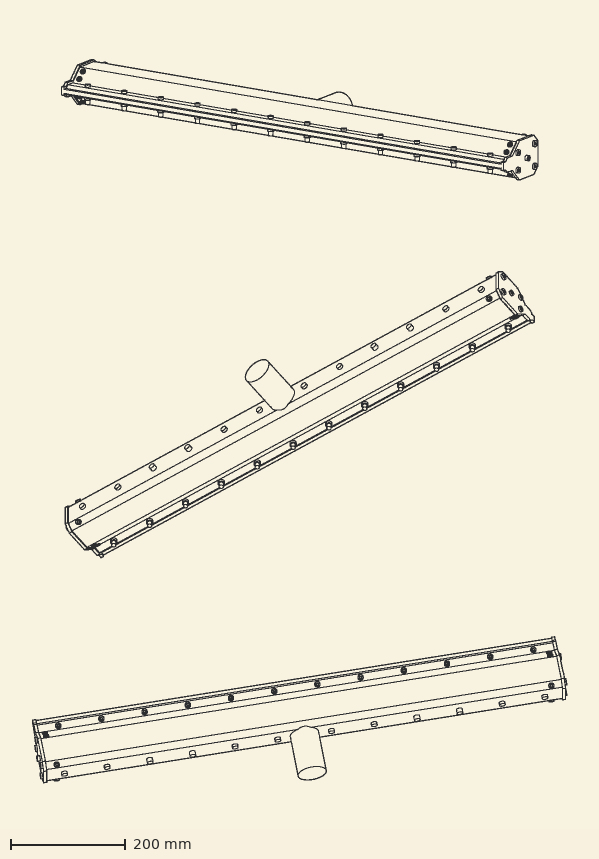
import cadquery as cq

plates_length = 924.0
plate_thickness = 6.0
body_length = plates_length - 2 * plate_thickness
body_inset = 3.0
body_lip_inset = 4.0

half_height = 35.0
lip_half_height = 13.0
tip_half_height = 7.0
rear_chamfer = 13.0
front_slope_start = 59.0
lip_end = 97.0
tip_depth = 109.0

tube_diameter = 50.0
tube_length = 75.0
tube_overlap = 23.0

head_sink = 1.0
low_head = 3.3
tall_head = 5.1
slope_head = 2.0
chamfer_head = 4.0
socket_depth = 2.0
socket_width = 5.0

end_rear_screw = (13.0, 20.5)
end_front_screw = (65.0, 16.0)
end_center_depth = 37.0
end_rear_diameter = 11.0
end_front_diameter = 10.0
end_center_diameter = 9.0

slope_screw_diameter = 9.0
slope_screw_inset = 16.0
slope_screw_depths = (64.0, 75.5)
chamfer_screw_inset = 24.0
chamfer_screw_depth = 7.0

lip_bolt_count = 12
lip_bolt_pitch = 76.0
lip_bolt_depth = 89.0
lip_head_height = 4.0
lip_head_diameter = 9.0
lip_washer_diameter = 11.0
lip_washer_height = 5.0
lip_nut_diameter = 7.6
lip_nut_height = 13.0

rear_bolts_per_side = 6
rear_bolt_first = 48.0
rear_bolt_pitch = 75.5
rear_bolt_diameter = 10.0
tall_rear_bolts = (2, 3)
low_rear_head = 5.0
tall_rear_head = 7.0


def section(inset, lip_inset, length):
    """Bar of lipped, Z-symmetric section; its faces move inwards by `inset` and, at the lip, `lip_inset`."""
    top = half_height - inset
    lip = lip_half_height - lip_inset
    tip = tip_half_height - lip_inset
    upper = [
        (-inset, half_height - rear_chamfer),
        (-rear_chamfer, top),
        (-front_slope_start, top),
        (-front_slope_start - (top - lip), lip),
        (-lip_end, lip),
        (-lip_end - (lip - tip), tip),
        (-tip_depth, tip),
    ]
    lower = [(y, -z) for y, z in reversed(upper)]
    return cq.Workplane("YZ").polyline(upper + lower).close().extrude(length / 2, both=True)


def head(point, normal, diameter, height):
    """Plain round head standing on `point` along `normal`."""
    plane = cq.Plane(origin=point, xDir=(0, 1, 0) if normal[0] else (1, 0, 0), normal=normal)
    return cq.Workplane(plane).workplane(offset=-head_sink).circle(diameter / 2).extrude(height + head_sink)


def socket_head(point, normal, diameter, height):
    """Round head with a hexagon socket in its outer end."""
    outer_end = cq.selectors.DirectionMinMaxSelector(cq.Vector(*normal), True)
    blank = head(point, normal, diameter, height)
    return blank.faces(outer_end).workplane().polygon(6, socket_width).cutBlind(-socket_depth)


def end_screws(side):
    """Five screw heads on the outer face of one end plate."""
    x = side * plates_length / 2
    normal = (side, 0, 0)
    center_height = tall_head if side > 0 else low_head
    heads = [socket_head((x, -end_center_depth, 0), normal, end_center_diameter, center_height)]
    for up in (1, -1):
        depth, z = end_rear_screw
        heads.append(socket_head((x, -depth, up * z), normal, end_rear_diameter, low_head))
        depth, z = end_front_screw
        heads.append(socket_head((x, -depth, up * z), normal, end_front_diameter, low_head))
    return heads


def slope_screws(side):
    """Screws on the front slopes and rear chamfers of the body beside one end plate."""
    heads = []
    slope_x = side * (plates_length / 2 - slope_screw_inset)
    chamfer_x = side * (plates_length / 2 - chamfer_screw_inset)
    for up in (1, -1):
        for depth in slope_screw_depths:
            z = half_height - body_inset - (depth - front_slope_start)
            heads.append(socket_head((slope_x, -depth, up * z), (0, -1, up), slope_screw_diameter, slope_head))
        z = half_height - body_inset - (rear_chamfer - chamfer_screw_depth)
        point = (chamfer_x, -chamfer_screw_depth, up * z)
        heads.append(socket_head(point, (0, 1, up), slope_screw_diameter, chamfer_head))
    return heads


def lip_bolts():
    """Row of bolts: heads above the lip, washers and nuts below it."""
    lip_z = lip_half_height - body_lip_inset
    parts = []
    for i in range(lip_bolt_count):
        x = (i - (lip_bolt_count - 1) / 2) * lip_bolt_pitch
        above = (x, -lip_bolt_depth, lip_z)
        parts.append(socket_head(above, (0, 0, 1), lip_head_diameter, lip_head_height))
        under = (x, -lip_bolt_depth, -lip_z)
        parts.append(head(under, (0, 0, -1), lip_washer_diameter, lip_washer_height))
        parts.append(head(under, (0, 0, -1), lip_nut_diameter, lip_nut_height))
    return parts


def rear_bolts():
    """Bolt heads along the rear face; two on each side of the tube are taller."""
    heads = []
    for side in (1, -1):
        for i in range(rear_bolts_per_side):
            x = side * (rear_bolt_first + i * rear_bolt_pitch)
            height = tall_rear_head if i in tall_rear_bolts else low_rear_head
            heads.append(head((x, -body_inset, 0), (0, 1, 0), rear_bolt_diameter, height))
    return heads


def tube():
    """Connection tube that runs into the rear of the body."""
    start = cq.Workplane("XZ", origin=(0, tube_length, 0))
    return start.circle(tube_diameter / 2).extrude(tube_length + tube_overlap)


plate = section(0, 0, plate_thickness)
plate_shift = (plates_length - plate_thickness) / 2
result = section(body_inset, body_lip_inset, body_length)
for side in (1, -1):
    result = result.union(plate.translate((side * plate_shift, 0, 0)))
result = result.union(tube())
fasteners = lip_bolts() + rear_bolts()
for side in (1, -1):
    fasteners += end_screws(side) + slope_screws(side)
for fastener in fasteners:
    result = result.union(fastener)